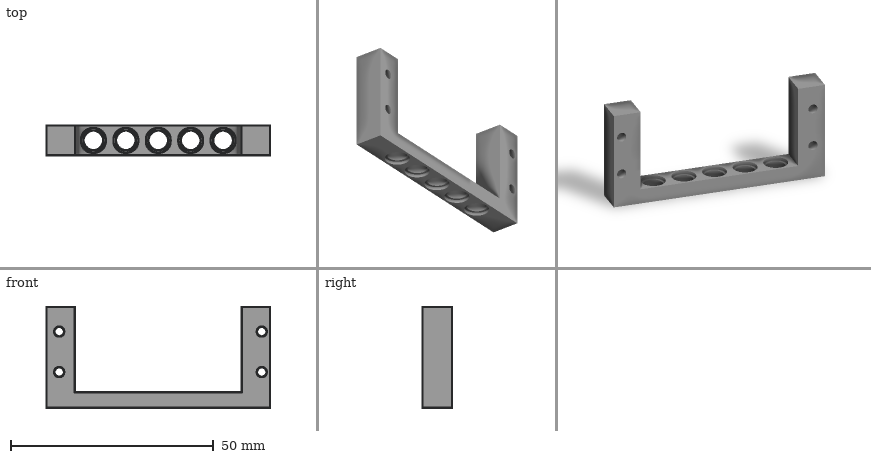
import cadquery as cq

length = 55.2
depth = 7.4
height = 24.9
arm_width = 7.0
base_thickness = 3.85

mount_diameter = 2.4
mount_left_x = 3.15
mount_pitch_x = 50.0
mount_low_z = 8.85
mount_pitch_z = 10.0

row_count = 5
row_pitch = 8.0
row_diameter = 4.85
counterbore_diameter = 6.2
counterbore_depth = 0.85


def make_frame():
    """U-shaped body: a base bar with an upright arm at each end."""
    body = cq.Workplane("XY").box(length, depth, height, centered=(False, True, False))
    opening = (
        cq.Workplane("XY", origin=(length / 2, 0, base_thickness))
        .rect(length - 2 * arm_width, depth)
        .extrude(height - base_thickness)
    )
    return body.cut(opening)


def make_mount_holes():
    """Two holes in each arm, from front to back."""
    centres = [
        (mount_left_x + column * mount_pitch_x, mount_low_z + row * mount_pitch_z)
        for column in range(2)
        for row in range(2)
    ]
    return (
        cq.Workplane("XZ", origin=(0, depth / 2, 0))
        .pushPoints(centres)
        .circle(mount_diameter / 2)
        .extrude(depth)
    )


def make_base_bore():
    """Through hole with a counterbore at both ends, its axis on the Z axis."""
    upper_step = base_thickness - counterbore_depth
    through = cq.Workplane("XY").circle(row_diameter / 2).extrude(base_thickness)
    lower = cq.Workplane("XY").circle(counterbore_diameter / 2).extrude(counterbore_depth)
    upper = lower.translate((0, 0, upper_step))
    return through.union(lower).union(upper)


result = make_frame().cut(make_mount_holes())

first_bore_x = length / 2 - row_pitch * (row_count - 1) / 2
base_bore = make_base_bore()
for index in range(row_count):
    result = result.cut(base_bore.translate((first_bore_x + index * row_pitch, 0, 0)))